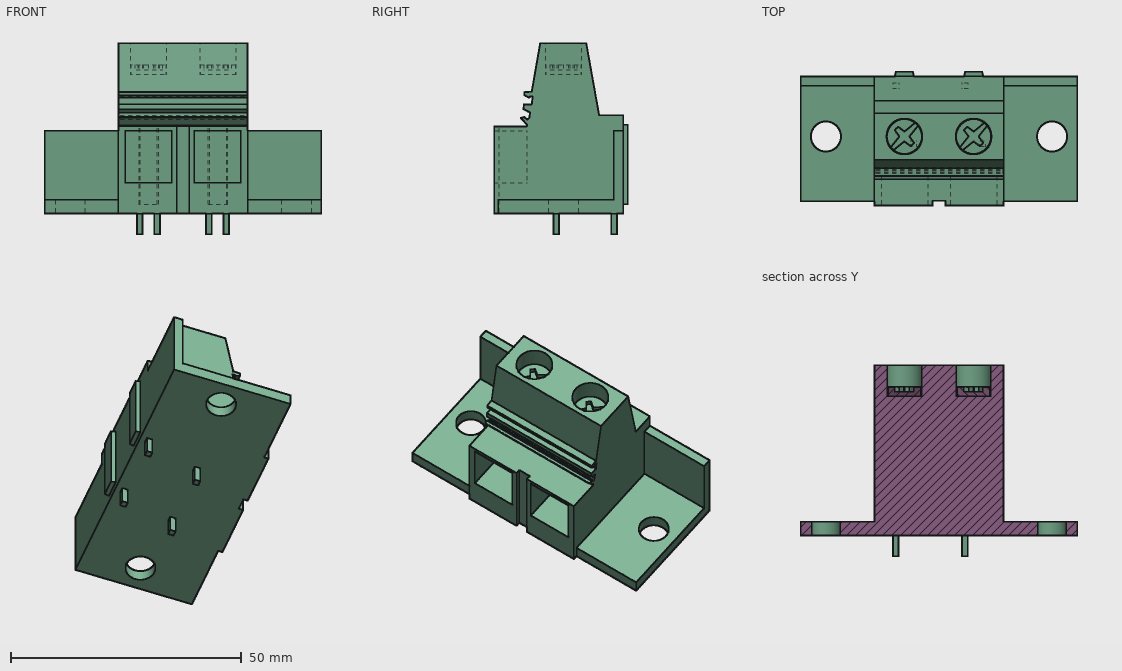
import cadquery as cq
import math


LENGTH = 60.0
HOUSING_WIDTH = 28.0
HOUSING_DEPTH = 28.0
TOP_HEIGHT = 36.95
FRONT_STEP_HEIGHT = 18.9
REAR_STEP_HEIGHT = 21.35

POLE_PITCH = 15.0
POLE_CENTERS = (-POLE_PITCH / 2, POLE_PITCH / 2)

TOWER_CENTER_Y = 15.0
TOWER_TOP_DEPTH = 10.0
TOWER_REAR_FOOT_Y = 22.8

FLANGE_HEIGHT = 18.0
FLANGE_THICKNESS = 3.0
FLANGE_WALL = 2.05
FLANGE_FRONT_Y = 0.95
MOUNT_HOLE_DIAMETER = 6.5
MOUNT_HOLE_SPACING = 49.0

WIRE_OPENING_WIDTH = 10.1
WIRE_OPENING_BOTTOM = 6.65
WIRE_OPENING_TOP = 18.0
WIRE_OPENING_DEPTH = 7.15
GROOVE_WIDTH = 2.75
GROOVE_DEPTH = 1.0

TONGUE_ROOT_WIDTH = 4.2
TONGUE_TIP_WIDTH = 3.7
TONGUE_DEPTH = 1.0
TONGUE_BOTTOM = 2.0
TONGUE_TOP = 19.25

SCREW_WELL_DIAMETER = 7.8
SCREW_DIAMETER = 7.55
SCREW_RECESS = 4.75
SCREW_HEAD_HEIGHT = 2.0
SCREW_BOTTOM = TOP_HEIGHT - SCREW_RECESS - SCREW_HEAD_HEIGHT

SLOT_DEPTH = 1.0
SLOT_CORNER_RADIUS = 1.1
LONG_ARM_REACH = 3.9
LONG_ARM_TIP_WIDTH = 0.85
SHORT_ARM_REACH = 2.45
SHORT_ARM_TIP_WIDTH = 1.0
SLOT_ANGLE = 45.0

PIN_SIZE = 1.25
PIN_LENGTH = 4.5
PIN_SPACING_X = 3.8
PIN_REAR_Y = 26.05
PIN_FRONT_Y = 13.5

RIB_OUTLINE = [
    (8.15, 26.45),
    (6.55, 26.35),
    (6.55, 25.7),
    (7.6, 25.1),
    (7.85, 25.4),
    (8.35, 25.4),
    (8.15, 23.7),
    (6.5, 23.7),
    (6.35, 22.6),
    (7.8, 21.9),
    (7.6, 20.75),
    (7.25, 20.4),
    (6.55, 20.95),
    (5.75, 20.75),
    (7.2, 19.2),
    (7.1, FRONT_STEP_HEIGHT),
]


def box_between(x_range, y_range, z_range):
    """Box spanning the given (low, high) range along each axis."""
    return cq.Workplane("XY").box(
        x_range[1] - x_range[0],
        y_range[1] - y_range[0],
        z_range[1] - z_range[0],
        centered=False,
    ).translate((x_range[0], y_range[0], z_range[0]))


def extrude_along_x(outline, width):
    """Extrude a (y, z) outline along X, centred on X = 0."""
    return cq.Workplane("YZ").polyline(outline).close().extrude(width / 2, both=True)


def make_housing_block():
    """Main block with the tapered tower and its ribbed front."""
    outline = [
        (0, 0),
        (HOUSING_DEPTH, 0),
        (HOUSING_DEPTH, REAR_STEP_HEIGHT),
        (TOWER_REAR_FOOT_Y, REAR_STEP_HEIGHT),
        (TOWER_CENTER_Y + TOWER_TOP_DEPTH / 2, TOP_HEIGHT),
        (TOWER_CENTER_Y - TOWER_TOP_DEPTH / 2, TOP_HEIGHT),
        *RIB_OUTLINE,
        (0, FRONT_STEP_HEIGHT),
    ]
    return extrude_along_x(outline, HOUSING_WIDTH)


def make_flanges():
    """L-shaped mounting flanges, with one mounting hole on each side."""
    wall_front_y = HOUSING_DEPTH - FLANGE_WALL
    outline = [
        (FLANGE_FRONT_Y, 0),
        (HOUSING_DEPTH, 0),
        (HOUSING_DEPTH, FLANGE_HEIGHT),
        (wall_front_y, FLANGE_HEIGHT),
        (wall_front_y, FLANGE_THICKNESS),
        (FLANGE_FRONT_Y, FLANGE_THICKNESS),
    ]
    mount_holes = (
        cq.Workplane("XY")
        .pushPoints([(side * MOUNT_HOLE_SPACING / 2, TOWER_CENTER_Y) for side in (-1, 1)])
        .circle(MOUNT_HOLE_DIAMETER / 2)
        .extrude(FLANGE_THICKNESS)
    )
    return extrude_along_x(outline, LENGTH).cut(mount_holes)


def make_tongue(pole_x):
    """Tapered tongue standing out from the rear face."""
    tip_y = HOUSING_DEPTH + TONGUE_DEPTH
    outline = [
        (pole_x - TONGUE_ROOT_WIDTH / 2, HOUSING_DEPTH),
        (pole_x + TONGUE_ROOT_WIDTH / 2, HOUSING_DEPTH),
        (pole_x + TONGUE_TIP_WIDTH / 2, tip_y),
        (pole_x - TONGUE_TIP_WIDTH / 2, tip_y),
    ]
    return (
        cq.Workplane("XY")
        .workplane(offset=TONGUE_BOTTOM)
        .polyline(outline)
        .close()
        .extrude(TONGUE_TOP - TONGUE_BOTTOM)
    )


def make_wire_opening(pole_x):
    """Cutter for the blind rectangular opening in the front face."""
    return box_between(
        (pole_x - WIRE_OPENING_WIDTH / 2, pole_x + WIRE_OPENING_WIDTH / 2),
        (0, WIRE_OPENING_DEPTH),
        (WIRE_OPENING_BOTTOM, WIRE_OPENING_TOP),
    )


def make_screw_well(pole_x):
    """Cutter for the round well that holds a screw."""
    return (
        cq.Workplane("XY")
        .workplane(offset=SCREW_BOTTOM)
        .center(pole_x, TOWER_CENTER_Y)
        .circle(SCREW_WELL_DIAMETER / 2)
        .extrude(TOP_HEIGHT - SCREW_BOTTOM)
    )


def make_housing():
    housing = make_housing_block().union(make_flanges())
    groove = box_between(
        (-GROOVE_WIDTH / 2, GROOVE_WIDTH / 2),
        (0, GROOVE_DEPTH),
        (0, FRONT_STEP_HEIGHT),
    )
    housing = housing.cut(groove)
    for pole_x in POLE_CENTERS:
        housing = housing.union(make_tongue(pole_x))
        housing = housing.cut(make_wire_opening(pole_x))
        housing = housing.cut(make_screw_well(pole_x))
    return housing


def make_cross_slot():
    """Cutter for the cross slot, with its arms narrowing outward from the centre."""
    corner = SLOT_CORNER_RADIUS / math.sqrt(2)
    long_half = LONG_ARM_TIP_WIDTH / 2
    short_half = SHORT_ARM_TIP_WIDTH / 2
    outline = [
        (corner, corner),
        (short_half, SHORT_ARM_REACH),
        (-short_half, SHORT_ARM_REACH),
        (-corner, corner),
        (-LONG_ARM_REACH, long_half),
        (-LONG_ARM_REACH, -long_half),
        (-corner, -corner),
        (-short_half, -SHORT_ARM_REACH),
        (short_half, -SHORT_ARM_REACH),
        (corner, -corner),
        (LONG_ARM_REACH, -long_half),
        (LONG_ARM_REACH, long_half),
    ]
    return (
        cq.Workplane("XY")
        .workplane(offset=SCREW_HEAD_HEIGHT - SLOT_DEPTH)
        .polyline(outline)
        .close()
        .extrude(SLOT_DEPTH)
        .rotate((0, 0, 0), (0, 0, 1), SLOT_ANGLE)
    )


def make_screw(pole_x):
    """Slotted screw head resting on the floor of its well."""
    head = cq.Workplane("XY").circle(SCREW_DIAMETER / 2).extrude(SCREW_HEAD_HEIGHT)
    return head.cut(make_cross_slot()).translate((pole_x, TOWER_CENTER_Y, SCREW_BOTTOM))


def make_pin(x, y):
    """Square solder pin hanging from the underside of the housing."""
    return (
        cq.Workplane("XY")
        .center(x, y)
        .rect(PIN_SIZE, PIN_SIZE)
        .extrude(-PIN_LENGTH)
    )


housing = make_housing()
screws = []
pins = []
for pole_center in POLE_CENTERS:
    screws.append(make_screw(pole_center))
    pins.append(make_pin(pole_center - PIN_SPACING_X / 2, PIN_REAR_Y))
    pins.append(make_pin(pole_center + PIN_SPACING_X / 2, PIN_FRONT_Y))

result = cq.Compound.makeCompound([
    housing.val(),
    *[screw.val() for screw in screws],
    *[pin.val() for pin in pins],
])